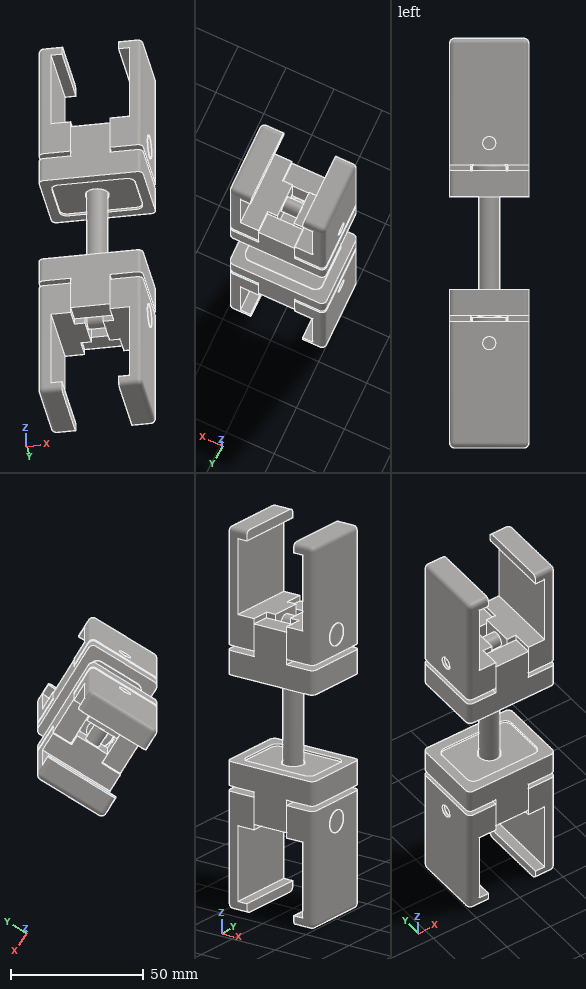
import cadquery as cq
import math

LENGTH = 155.0
HALF_LENGTH = LENGTH / 2
WIDTH = 40.0
DEPTH = 30.0
CORNER_RADIUS = 2.0

BASE_BOTTOM = 17.5
BASE_TOP = 27.5
TONGUE_TOP = 40.6
TONGUE_WIDTH = 15.0
TONGUE_SPACING = 14.0
RECESS_RIM = 4.0
RECESS_DEPTH = 1.0
RECESS_RADIUS = 3.0

JAW_BOTTOM = 29.6
JAW_FLOOR = 42.8
JAW_WALL = 5.0
LIP_REACH = 9.1
LIP_THICKNESS = 4.0
JAW_GAP = 7.0
TONGUE_CLEARANCE = 0.23

BOLT_DIAMETER = 8.0
BOLT_HOLE_DIAMETER = 9.0
BOLT_HEAD_DIAMETER = 13.0
BOLT_HEAD_HEIGHT = 8.0
BOLT_HEAD_FILLET = 1.0
SEAT = JAW_BOTTOM - BOLT_HEAD_HEIGHT
NUT_FLATS = 13.0
NUT_CORNERS = NUT_FLATS / math.cos(math.pi / 6)
NUT_COLLAR_HEIGHT = 1.4
NUT_CHAMFER_ANGLE = 30.0

SCREW_Z = 37.8
SCREW_DIAMETER = 6.0
SCREW_HEAD_DIAMETER = 9.0
SCREW_HEAD_LENGTH = 6.0
SCREW_HEAD_PROUD = 0.2
SCREW_HEAD_END = WIDTH / 2 + SCREW_HEAD_PROUD
SCREW_TIP_DEPTH = 1.1
TIP_HOLE_DIAMETER = 5.0


def block(x_min, x_max, width_y, z_min, z_max):
    """Box centred on Y between the given X and Z limits."""
    return cq.Workplane("XY").box(
        x_max - x_min, width_y, z_max - z_min, centered=(False, True, False)
    ).translate((x_min, 0, z_min))


def rod_z(diameter, z_min, z_max):
    """Cylinder on the Z axis."""
    return cq.Workplane("XY").workplane(offset=z_min).circle(diameter / 2).extrude(z_max - z_min)


def rod_x(diameter, x_min, x_max):
    """Cylinder along X at the height of the cross screw."""
    profile = cq.Workplane("YZ").workplane(offset=x_min).center(0, SCREW_Z).circle(diameter / 2)
    return profile.extrude(x_max - x_min)


def hex_prism(z_min, z_max):
    """Hexagonal prism on the Z axis with two corners on the Y axis."""
    profile = cq.Workplane("XY").workplane(offset=z_min).transformed(rotate=(0, 0, 90))
    return profile.polygon(6, NUT_CORNERS).extrude(z_max - z_min)


def lower_copy(body):
    """The body mirrored from the upper clamp position into the lower clamp."""
    return body.mirror("XY")


def make_base(pocket):
    """Plate with two tongues, an underside recess, a bolt hole and a head or nut pocket."""
    plate = block(-WIDTH / 2, WIDTH / 2, DEPTH, BASE_BOTTOM, BASE_TOP).edges("|Z").fillet(CORNER_RADIUS)
    tongues = block(-TONGUE_WIDTH / 2, TONGUE_WIDTH / 2, DEPTH, BASE_TOP, TONGUE_TOP)
    tongues = tongues.cut(block(-TONGUE_WIDTH / 2, TONGUE_WIDTH / 2, TONGUE_SPACING, BASE_TOP, TONGUE_TOP))
    recess = block(
        -WIDTH / 2 + RECESS_RIM,
        WIDTH / 2 - RECESS_RIM,
        DEPTH - 2 * RECESS_RIM,
        BASE_BOTTOM,
        BASE_BOTTOM + RECESS_DEPTH,
    ).edges("|Z").fillet(RECESS_RADIUS)
    bolt_hole = rod_z(BOLT_HOLE_DIAMETER, BASE_BOTTOM, BASE_TOP)
    return plate.union(tongues).cut(recess).cut(bolt_hole).cut(pocket)


def make_jaw():
    """Jaw on the +X side, without its screw holes."""
    outer = WIDTH / 2
    jaw = block(JAW_GAP / 2, outer, DEPTH, JAW_BOTTOM, HALF_LENGTH)
    jaw = jaw.edges("|Z and >X").fillet(CORNER_RADIUS)
    jaw = jaw.faces(">Z").edges("not <X").fillet(CORNER_RADIUS)
    opening = block(JAW_GAP / 2, outer - JAW_WALL, DEPTH, JAW_FLOOR, HALF_LENGTH - LIP_THICKNESS)
    mouth = block(JAW_GAP / 2, outer - LIP_REACH, DEPTH, JAW_FLOOR, HALF_LENGTH)
    tongue_edge = TONGUE_WIDTH / 2
    sides = block(JAW_GAP / 2, tongue_edge, DEPTH, JAW_BOTTOM, JAW_FLOOR)
    middle = block(JAW_GAP / 2, tongue_edge, TONGUE_SPACING - 2 * TONGUE_CLEARANCE, JAW_BOTTOM, JAW_FLOOR)
    return jaw.cut(opening).cut(mouth).cut(sides.cut(middle))


def make_cross_screw():
    """Headed screw along X, its tip just short of the -X face."""
    tip = -WIDTH / 2 + SCREW_TIP_DEPTH
    head = rod_x(SCREW_HEAD_DIAMETER, SCREW_HEAD_END - SCREW_HEAD_LENGTH, SCREW_HEAD_END)
    return head.union(rod_x(SCREW_DIAMETER, tip, SCREW_HEAD_END - SCREW_HEAD_LENGTH))


def make_bolt():
    """Long bolt with its head in the upper base and its end flush with the nut."""
    head = rod_z(BOLT_HEAD_DIAMETER, SEAT, SEAT + BOLT_HEAD_HEIGHT)
    head = head.faces(">Z").edges().fillet(BOLT_HEAD_FILLET)
    return head.union(rod_z(BOLT_DIAMETER, -JAW_BOTTOM, SEAT))


def make_nut():
    """Hexagonal nut with a round collar, its corners chamfered towards the collar."""
    shoulder = JAW_BOTTOM - NUT_COLLAR_HEIGHT
    corner_rise = (NUT_CORNERS - NUT_FLATS) / 2 * math.tan(math.radians(NUT_CHAMFER_ANGLE))
    envelope = (
        cq.Workplane("XZ")
        .moveTo(0, SEAT)
        .lineTo(NUT_CORNERS / 2, SEAT)
        .lineTo(NUT_CORNERS / 2, shoulder - corner_rise)
        .lineTo(NUT_FLATS / 2, shoulder)
        .lineTo(0, shoulder)
        .close()
        .revolve(360, (0, 0, 0), (0, 1, 0))
    )
    nut = hex_prism(SEAT, shoulder).intersect(envelope)
    nut = nut.union(rod_z(NUT_FLATS, shoulder, JAW_BOTTOM))
    return nut.cut(rod_z(BOLT_DIAMETER, SEAT, JAW_BOTTOM))


cross_screw = make_cross_screw()
plain_jaw = make_jaw()
head_jaw = plain_jaw.cut(cross_screw)
tip_hole = rod_x(TIP_HOLE_DIAMETER, -WIDTH / 2, 0)
tip_jaw = plain_jaw.mirror("YZ").cut(cross_screw).cut(tip_hole)
upper_base = make_base(rod_z(BOLT_HEAD_DIAMETER, SEAT, BASE_TOP))

lower_base = lower_copy(make_base(hex_prism(SEAT, JAW_BOTTOM)))
nut = lower_copy(make_nut())
bolt = make_bolt()

repeated = []
for body in (head_jaw, tip_jaw, cross_screw):
    repeated.append(body.val())
    repeated.append(lower_copy(body).val())

result = cq.Compound.makeCompound([upper_base.val(), lower_base.val(), bolt.val(), nut.val(), *repeated])